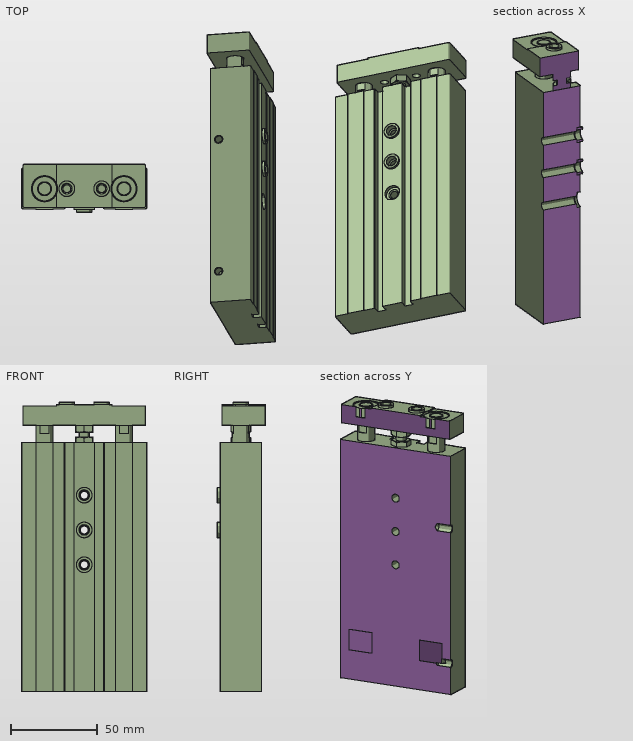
import cadquery as cq
import math

total_height = 166.8

housing_width = 72.0
housing_depth = 24.0
housing_height = 143.5
housing_corner_radius = 1.0
front_y = -housing_depth / 2

front_step = 0.3
strip_width = 10.0
rib_width = 12.0
slot_width = 5.0
slot_depth = 4.5
slot_lip_chamfer = 0.5

rod_spacing = 45.7
rod_diameter = 10.0
rod_flat_inset = 0.7
rod_flat_height = 4.7
head_seat_diameter = 15.0
head_seat_depth = 6.0
head_diameter = 14.0
head_sink = 0.5
boss_diameter = 8.0
boss_chamfer = 0.42
piston_diameter = 20.0
piston_height = 12.0
piston_bottom_z = 17.8

sleeve_diameter = 9.0
sleeve_bore = 6.0
sleeve_protrusion = 1.7
sleeve_seat_depth = 2.2
sleeve_crown = 0.3
sleeve_pitch = 20.0
screw_hole_diameter = 4.5
screw_hole_mouth = 6.0

top_seat_z = 113.1
seat_count = 3
front_sleeve_count = 2

plate_width = 70.7
plate_depth = 25.0
plate_back_y = 14.2
plate_bottom_z = 153.3
plate_top_z = total_height - sleeve_protrusion
plate_corner_radius = 1.2
plate_step = 0.7
plate_middle_width = 32.0

nut_across_flats = 10.0
nut_chamfer_angle = 30.0
upper_nut_height = 4.0
lower_nut_height = 3.0
stop_screw_diameter = 6.0

port_y = 7.0
port_heights = (18.7, 99.5)
port_diameter = 4.2
port_mouth = 4.8
port_depth = 8.8
drill_point_angle = 118.0

rod_xs = (-rod_spacing / 2, rod_spacing / 2)
plate_end_z = plate_top_z - plate_step
head_seat_z = plate_end_z - head_seat_depth
plate_centre_y = plate_back_y - plate_depth / 2
front_seat_zs = [top_seat_z - i * sleeve_pitch for i in range(seat_count)]
plate_seat_xs = (-sleeve_pitch / 2, sleeve_pitch / 2)


def upright_cylinder(diameter, bottom_z, top_z, x=0.0):
    return cq.Workplane("XY", origin=(x, 0, bottom_z)).circle(diameter / 2).extrude(top_z - bottom_z)


def upright_block(width, depth, bottom_z, top_z, x=0.0, y=0.0):
    return cq.Workplane("XY", origin=(x, y, bottom_z)).rect(width, depth).extrude(top_z - bottom_z)


def turned(profile):
    """Revolve (radius, height) points about the local Z axis."""
    return cq.Workplane("XZ").polyline(profile).close().revolve(360, (0, 0, 0), (0, 1, 0))


def facing_front(shape, z):
    """Turn a shape whose axis is +Z so that it points to -Y, and set it on the housing front."""
    return shape.rotate((0, 0, 0), (1, 0, 0), 90).translate((0, front_y, z))


def seat_cutter(through_length):
    """Sleeve seat with a countersunk screw hole below it; the mouth is at z = 0."""
    floor = -sleeve_seat_depth
    countersink_end = floor - (screw_hole_mouth - screw_hole_diameter) / 2
    return turned([
        (0, 0),
        (sleeve_diameter / 2, 0),
        (sleeve_diameter / 2, floor),
        (screw_hole_mouth / 2, floor),
        (screw_hole_diameter / 2, countersink_end),
        (screw_hole_diameter / 2, -through_length),
        (0, -through_length),
    ])


def slot_cutter():
    """Rectangular slot on the +X side of the rib, with a chamfered outer lip."""
    inner_x = rib_width / 2
    outer_x = inner_x + slot_width
    lip_y = front_y + front_step
    profile = [
        (inner_x, front_y),
        (inner_x, lip_y + slot_depth),
        (outer_x, lip_y + slot_depth),
        (outer_x, lip_y + slot_lip_chamfer),
        (outer_x + slot_lip_chamfer, lip_y),
        (outer_x + slot_lip_chamfer, front_y),
    ]
    return cq.Workplane("XY").polyline(profile).close().extrude(housing_height)


def port_cutter(z):
    """Blind drilled port entering from the -X side, with a chamfered mouth and a drill point."""
    radius = port_diameter / 2
    mouth_chamfer = (port_mouth - port_diameter) / 2
    point_length = radius / math.tan(math.radians(drill_point_angle / 2))
    drill = turned([
        (0, 0),
        (port_mouth / 2, 0),
        (radius, mouth_chamfer),
        (radius, port_depth),
        (0, port_depth + point_length),
    ])
    return drill.rotate((0, 0, 0), (0, 1, 0), 90).translate((-housing_width / 2, port_y, z))


def make_housing():
    body = upright_block(housing_width, housing_depth - front_step, 0, housing_height, y=front_step / 2)
    body = body.edges("|Z").fillet(housing_corner_radius)

    raised_depth = 2 * front_step
    raised_y = front_y + front_step
    for x, width in ((rod_xs[0], strip_width), (0, rib_width), (rod_xs[1], strip_width)):
        body = body.union(upright_block(width, raised_depth, 0, housing_height, x, raised_y))

    slot = slot_cutter()
    body = body.cut(slot).cut(slot.mirror("YZ"))

    for x in rod_xs:
        body = body.cut(upright_cylinder(rod_diameter, piston_bottom_z, housing_height, x))
        body = body.cut(upright_cylinder(piston_diameter, piston_bottom_z, piston_bottom_z + piston_height, x))

    for z in front_seat_zs:
        body = body.cut(facing_front(seat_cutter(housing_depth), z))
    for z in port_heights:
        body = body.cut(port_cutter(z))
    return body


def nut(bottom_z, height, chamfered_end):
    """Hexagon with corners toward +Y and -Y, chamfered at its "top" or "bottom" end."""
    flat_radius = nut_across_flats / 2
    corner_radius = flat_radius / math.cos(math.radians(30))
    drop = (corner_radius - flat_radius) * math.tan(math.radians(nut_chamfer_angle))
    hexagon = cq.Workplane("XY").polygon(6, 2 * corner_radius).extrude(height)
    hexagon = hexagon.rotate((0, 0, 0), (0, 0, 1), 90)
    envelope = turned([
        (0, 0),
        (corner_radius, 0),
        (corner_radius, height - drop),
        (flat_radius, height),
        (0, height),
    ])
    blank = hexagon.intersect(envelope)
    if chamfered_end == "bottom":
        blank = blank.mirror("XY").translate((0, 0, height))
    return blank.translate((0, 0, bottom_z))


def make_plate():
    body = upright_block(plate_width, plate_depth, plate_bottom_z, plate_end_z, y=plate_centre_y)
    body = body.edges("|Z").fillet(plate_corner_radius)
    body = body.union(
        upright_block(plate_middle_width, plate_depth, plate_bottom_z, plate_top_z, y=plate_centre_y)
    )

    for x in rod_xs:
        body = body.cut(upright_cylinder(rod_diameter, plate_bottom_z, head_seat_z, x))
        body = body.cut(upright_cylinder(head_seat_diameter, head_seat_z, plate_top_z, x))
    for x in plate_seat_xs:
        body = body.cut(seat_cutter(plate_top_z - plate_bottom_z).translate((x, 0, plate_top_z)))

    body = body.union(upright_cylinder(stop_screw_diameter, housing_height, plate_bottom_z))
    body = body.union(nut(plate_bottom_z - upper_nut_height, upper_nut_height, "bottom"))
    return body.union(nut(housing_height, lower_nut_height, "top"))


def make_rod(x):
    """Rod with a piston at its lower end, wrench flats below the plate and a head in the plate."""
    body = upright_cylinder(rod_diameter, piston_bottom_z, head_seat_z, x)
    body = body.union(upright_cylinder(piston_diameter, piston_bottom_z, piston_bottom_z + piston_height, x))

    flat_bottom_z = plate_bottom_z - rod_flat_height
    for side in (-1, 1):
        flat_y = side * rod_diameter / 2
        flat = upright_block(rod_diameter, 2 * rod_flat_inset, flat_bottom_z, plate_bottom_z, x, flat_y)
        body = body.cut(flat)

    body = body.union(upright_cylinder(head_diameter, head_seat_z, plate_end_z - head_sink, x))
    boss = upright_cylinder(boss_diameter, head_seat_z, plate_end_z, x)
    return body.union(boss.faces(">Z").edges().chamfer(boss_chamfer))


def make_sleeve():
    """Sleeve along Z with a crowned upper end, whose seat mouth is at z = 0."""
    outer = sleeve_diameter / 2
    inner = sleeve_bore / 2
    edge_z = sleeve_protrusion - sleeve_crown
    return (
        cq.Workplane("XZ")
        .moveTo(inner, -sleeve_seat_depth)
        .lineTo(outer, -sleeve_seat_depth)
        .lineTo(outer, edge_z)
        .threePointArc(((inner + outer) / 2, sleeve_protrusion), (inner, edge_z))
        .close()
        .revolve(360, (0, 0, 0), (0, 1, 0))
    )


housing = make_housing()
plate = make_plate()
rods = [make_rod(x) for x in rod_xs]
sleeves = [make_sleeve().translate((x, 0, plate_top_z)) for x in plate_seat_xs]
sleeves += [facing_front(make_sleeve(), z) for z in front_seat_zs[:front_sleeve_count]]

result = cq.Compound.makeCompound(
    [housing.val(), plate.val()]
    + [rod.val() for rod in rods]
    + [sleeve.val() for sleeve in sleeves]
)